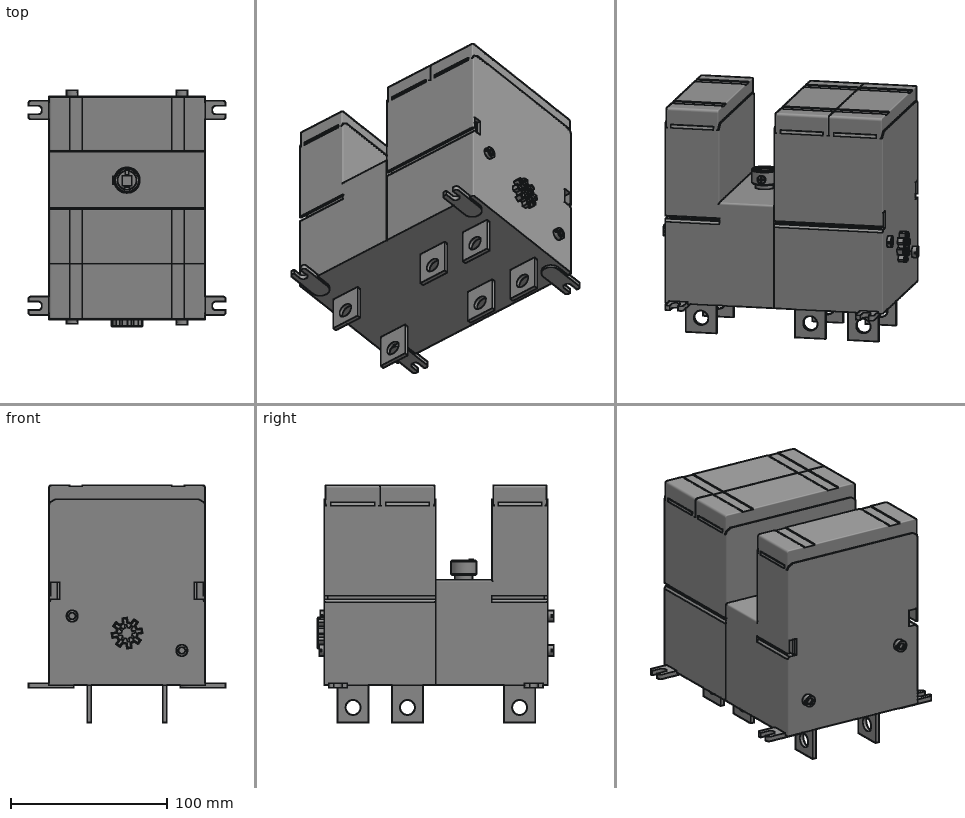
import cadquery as cq
import math

half_width = 49.9
half_length = 71.4
base_z = 24.0
top_z = 151.5
floor_z = 91.2
edge_round = 0.8
cap_side_round = 1.8
bay_side_round = 1.4
pole_length = half_length / 2

cap_inset = 0.8
cap_round = 0.8
wall_top_z = 142.5
wall_corner = 4.0
catch_low_z = 138.5
catch_high_z = 140.6
catch_depth = 0.8
catch_length = 27.9
strip_center_x = 32.6
strip_width = 8.0
strip_depth = 0.6

groove_floor_z = 78.7
groove_roof_z = 89.7
groove_lip_z = 77.0
groove_skirt_z = 81.0
groove_skirt = 1.4
groove_depth = 5.5
groove_mouth_depth = 6.8
groove_mouth_length = 2.3

foot_span = 126.0
foot_tip_x = foot_span / 2
foot_inner_x = 34.0
foot_y = 62.5
foot_width = 12.0
foot_bottom_z = 22.1
foot_thickness = 3.2
foot_slot_end_x = 54.4
foot_slot_width = 5.3
foot_slot_round = 2.3
foot_tip_round = 1.8
foot_inner_round = 5.8

terminal_x = 24.1
terminal_ys = [53.3, -18.2, -52.9]
terminal_width = 20.0
terminal_thickness = 2.7
terminal_embed = 1.5
terminal_hole_z = 9.7
terminal_hole_diameter = 9.4

bolts = [(-35.0, 68.0, 2.6), (35.0, 46.0, 3.2)]
bolt_back_projection = 3.8
bolt_radius = 3.6
bolt_recess_radius = 2.1
bolt_slot_width = 1.0
bolt_slot_depth = 1.5

gear_z = 57.1
gear_thickness = 4.4
gear_teeth = 8
gear_tip_radius = 10.0
gear_root_radius = 7.0
gear_tooth_width = 3.3
gear_chamfer = 0.6
gear_turn = 9.0
gear_bore_radius = 3.5
gear_spline_radius = 5.5
gear_spline_width = 1.4
gear_recess_depth = 3.0

knob_y = pole_length / 2 - 0.2
neck_radius = 5.8
knob_radius = 8.2
knob_bottom_z = 94.1
knob_top_z = 103.5
knob_chamfer = 0.8
knob_ring_radius = 6.0
knob_ring_depth = 0.5
knob_socket = (5.8, 6.4)
knob_socket_offset = -0.3
knob_socket_depth = 5.3
key_width = 2.1
key_inner = 3.5
key_outer = 6.2
key_rise = 0.6
notch_width = 3.3
notch_inner = 4.5
notch_depth = 1.5
grub_z = 98.2
grub_radius = 2.6
grub_tip_x = -9.1
grub_length = 3.0
grub_cross_width = 0.6
grub_cross_length = 3.6
grub_cross_depth = 0.5

overlap = 0.8


def block(x0, x1, y0, y1, z0, z1):
    """Box between two corners."""
    return cq.Workplane("XY").box(x1 - x0, y1 - y0, z1 - z0, centered=False).translate((x0, y0, z0))


def cylinder_z(x, y, z0, z1, radius):
    return cq.Workplane("XY").workplane(offset=z0).center(x, y).circle(radius).extrude(z1 - z0)


def cylinder_y(x, z, y0, y1, radius):
    return cq.Workplane("XZ", origin=(0, y0, 0)).center(x, z).circle(radius).extrude(y0 - y1)


def profile_y(workplane_outline, y0, y1):
    """Extrude a closed outline drawn in XZ from y0 to y1."""
    return workplane_outline.extrude(-(y1 - y0)).translate((0, y0, 0))


def end_wall(y0, y1):
    """Thin wall beside a cap, with its two top corners sloped."""
    slope_x = half_width - catch_depth
    flat_x = half_width - wall_corner
    outline = (
        cq.Workplane("XZ")
        .moveTo(half_width, base_z)
        .lineTo(half_width, catch_low_z)
        .lineTo(slope_x, catch_high_z)
        .lineTo(flat_x, wall_top_z)
        .lineTo(-flat_x, wall_top_z)
        .lineTo(-slope_x, catch_high_z)
        .lineTo(-half_width, catch_low_z)
        .lineTo(-half_width, base_z)
        .close()
    )
    return profile_y(outline, y0, y1)


def catch_cut(side, y_center):
    """Wedge-shaped recess low on the X side of a cap."""
    outline = (
        cq.Workplane("XZ")
        .moveTo(side * half_width, catch_low_z)
        .lineTo(side * (half_width - catch_depth), catch_high_z)
        .lineTo(side * half_width, catch_high_z)
        .close()
    )
    return profile_y(outline, y_center - catch_length / 2, y_center + catch_length / 2)


def cap(y0, y1):
    """Raised cap of one pole with recessed strips and side catches."""
    body = block(-half_width, half_width, y0, y1, base_z, top_z)
    body = body.edges(">Z and |Y").fillet(cap_side_round)
    body = body.faces("<Y or >Y").edges("not <Z").fillet(cap_round)
    for side in (-1, 1):
        strip_x = side * strip_center_x
        body = body.cut(block(strip_x - strip_width / 2, strip_x + strip_width / 2,
                              y0, y1, top_z - strip_depth, top_z))
        body = body.cut(catch_cut(side, (y0 + y1) / 2))
    return body


def tower(y0, y1, pole_count):
    """One tower: walls from the base up, topped by a row of touching caps."""
    body = block(-half_width, half_width, y0, y1, base_z, catch_low_z)
    body = body.union(end_wall(y0, y0 + 2 * cap_inset))
    body = body.union(end_wall(y1 - 2 * cap_inset, y1))
    body = body.edges("|Z").fillet(edge_round)
    caps_start = y0 + cap_inset
    cap_length = (y1 - y0 - 2 * cap_inset) / pole_count
    for index in range(pole_count):
        cap_start = caps_start + index * cap_length
        body = body.union(cap(cap_start, cap_start + cap_length))
    return body


def groove_cut(side, y0, y1, depth):
    """Undercut grip groove: pocket behind a skirt, open below the skirt over a sloped lip."""
    inner_x = half_width - depth
    skirt_x = half_width - groove_skirt
    points = [
        (inner_x, groove_floor_z),
        (skirt_x, groove_floor_z),
        (half_width, groove_lip_z),
        (half_width, groove_skirt_z),
        (skirt_x, groove_skirt_z),
        (skirt_x, groove_roof_z),
        (inner_x, groove_roof_z),
    ]
    outline = cq.Workplane("XZ").polyline([(side * x, z) for x, z in points]).close()
    return profile_y(outline, y0, y1)


def housing():
    """Two towers joined by a low bay, with grip grooves along both sides."""
    bay = block(-half_width, half_width, 0, pole_length + 2 * edge_round, base_z, floor_z)
    bay = bay.edges(">Z and |Y").fillet(bay_side_round)
    body = bay.union(tower(pole_length, half_length, 1)).union(tower(-half_length, 0, 2))
    groove_runs = [
        (pole_length, half_length, groove_depth),
        (-half_length, 0, groove_depth),
        (half_length - groove_mouth_length, half_length, groove_mouth_depth),
        (-half_length, groove_mouth_length - half_length, groove_mouth_depth),
    ]
    for side in (-1, 1):
        for start, end, depth in groove_runs:
            body = body.cut(groove_cut(side, start, end, depth))
    return body


def foot(x_side, y_side):
    """Flat lug with an open-ended slot at its tip and a rounded inner end."""
    y_mid = y_side * foot_y
    tip = x_side * foot_tip_x
    inner = x_side * foot_inner_x
    slot_end = x_side * foot_slot_end_x
    foot_top_z = foot_bottom_z + foot_thickness
    outer_face = ">X" if x_side > 0 else "<X"
    inner_face = "<X" if x_side > 0 else ">X"
    body = block(min(tip, inner), max(tip, inner), y_mid - foot_width / 2, y_mid + foot_width / 2,
                 foot_bottom_z, foot_top_z)
    body = body.edges(f"|Z and {inner_face}").fillet(foot_inner_round)
    body = body.edges(f"|Z and {outer_face}").fillet(foot_tip_round)
    slot = block(min(tip, slot_end), max(tip, slot_end),
                 y_mid - foot_slot_width / 2, y_mid + foot_slot_width / 2, foot_bottom_z, foot_top_z)
    slot = slot.edges(f"|Z and {inner_face}").fillet(foot_slot_round)
    return body.cut(slot)


def terminal(x, y):
    """Upright connection blade with one round hole."""
    blade = block(x - terminal_thickness / 2, x + terminal_thickness / 2,
                  y - terminal_width / 2, y + terminal_width / 2, 0, base_z + terminal_embed)
    hole = (
        cq.Workplane("YZ", origin=(x, 0, 0))
        .center(y, terminal_hole_z)
        .circle(terminal_hole_diameter / 2)
        .extrude(terminal_thickness, both=True)
    )
    return blade.cut(hole)


def bolt_end(x, z, y_side, projection):
    """Slotted, recessed bolt end standing out of a Y face."""
    tip_y = y_side * (half_length + projection)
    root_y = y_side * (half_length - overlap)
    slot_y = tip_y - y_side * bolt_slot_depth
    body = cylinder_y(x, z, root_y, tip_y, bolt_radius)
    body = body.cut(cylinder_y(x, z, slot_y, tip_y, bolt_recess_radius))
    return body.cut(block(x - bolt_radius, x + bolt_radius, min(slot_y, tip_y), max(slot_y, tip_y),
                          z - bolt_slot_width / 2, z + bolt_slot_width / 2))


def toothed_disc(core_radius, tip_radius, tooth_width, y0, y1):
    """Disc with straight radial teeth, on the gear's axis."""
    body = cylinder_y(0, gear_z, y0, y1, core_radius)
    tooth = block(-tooth_width / 2, tooth_width / 2, y0, y1, gear_z, gear_z + tip_radius)
    for index in range(gear_teeth):
        angle = gear_turn + index * 360 / gear_teeth
        body = body.union(tooth.rotate((0, 0, gear_z), (0, -1, gear_z), angle))
    return body


def gear():
    """Gear with a splined blind recess."""
    front_y = -half_length - gear_thickness
    tooth_height = math.sqrt(gear_tip_radius ** 2 - (gear_tooth_width / 2) ** 2)
    wheel = toothed_disc(gear_root_radius, tooth_height, gear_tooth_width, front_y, overlap - half_length)
    wheel = wheel.faces("<Y").edges().chamfer(gear_chamfer)
    recess = toothed_disc(gear_bore_radius, gear_spline_radius, gear_spline_width,
                          front_y, front_y + gear_recess_depth)
    return wheel.cut(recess)


def knob():
    """Round knob on a neck, with a square socket, a raised key and a side grub screw."""
    neck = cylinder_z(0, knob_y, floor_z - overlap, knob_bottom_z + overlap, neck_radius)
    head = cylinder_z(0, knob_y, knob_bottom_z, knob_top_z, knob_radius)
    head = head.faces("<Z or >Z").edges().chamfer(knob_chamfer)
    body = neck.union(head)

    dish_z = knob_top_z - knob_ring_depth
    body = body.cut(cylinder_z(0, knob_y, dish_z, knob_top_z, knob_ring_radius))

    socket_x, socket_y = knob_socket
    socket_mid_y = knob_y + knob_socket_offset
    body = body.cut(block(-socket_x / 2, socket_x / 2,
                          socket_mid_y - socket_y / 2, socket_mid_y + socket_y / 2,
                          dish_z - knob_socket_depth, dish_z))
    body = body.cut(block(-notch_width / 2, notch_width / 2, knob_y - key_outer, knob_y - notch_inner,
                          dish_z - notch_depth, dish_z))
    body = body.union(block(-key_width / 2, key_width / 2, knob_y + key_inner, knob_y + key_outer,
                            dish_z - overlap, knob_top_z + key_rise))

    grub = cq.Workplane("YZ", origin=(grub_tip_x, knob_y, grub_z)).circle(grub_radius).extrude(grub_length)
    cross = (
        cq.Workplane("YZ", origin=(grub_tip_x, knob_y, grub_z))
        .rect(grub_cross_width, grub_cross_length)
        .extrude(grub_cross_depth)
    )
    cross = cross.union(cross.rotate((0, knob_y, grub_z), (1, knob_y, grub_z), 90))
    return body.union(grub.cut(cross))


result = housing()
for x_side in (-1, 1):
    for y_side in (-1, 1):
        result = result.union(foot(x_side, y_side))
    for terminal_y in terminal_ys:
        result = result.union(terminal(x_side * terminal_x, terminal_y))
for bolt_x, bolt_z, front_projection in bolts:
    result = result.union(bolt_end(bolt_x, bolt_z, -1, front_projection))
    result = result.union(bolt_end(bolt_x, bolt_z, 1, bolt_back_projection))
result = result.union(gear()).union(knob())